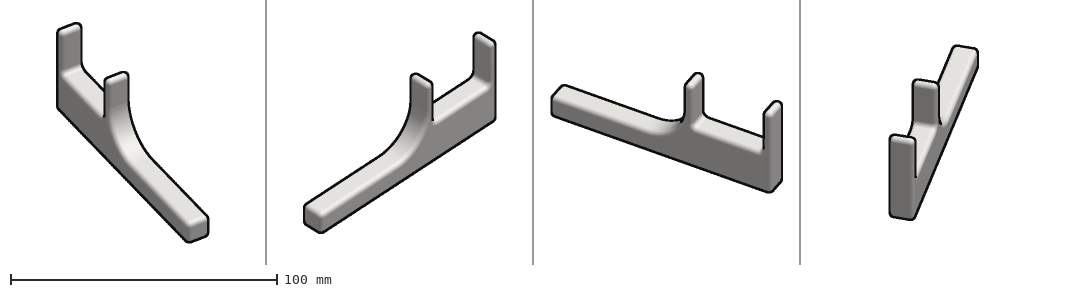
import cadquery as cq
import math

length = 95.5
width = 10.0
height = 39.0
prong_thickness = 4.0
ledge_height = 19.0
arm_height = 10.0
second_prong_start = 34.0
sweep_radius = 16.0

gap_radius = prong_thickness / 2
prong_flat = 0.01
edge_radius = (prong_thickness - prong_flat) / 2

second_prong_end = second_prong_start + prong_thickness


def side_profile():
    """Closed XZ outline, with sharp outer corners and round inner ones."""
    diagonal = 1 - math.sqrt(0.5)
    gap_inset = gap_radius * diagonal
    sweep_inset = sweep_radius * diagonal
    return (
        cq.Workplane("XZ", origin=(0, width / 2, 0))
        .moveTo(0, 0)
        .lineTo(length, 0)
        .lineTo(length, arm_height)
        .lineTo(second_prong_end + sweep_radius, arm_height)
        .threePointArc(
            (second_prong_end + sweep_inset, arm_height + sweep_inset),
            (second_prong_end, arm_height + sweep_radius),
        )
        .lineTo(second_prong_end, height)
        .lineTo(second_prong_start, height)
        .lineTo(second_prong_start, ledge_height + gap_radius)
        .threePointArc(
            (second_prong_start - gap_inset, ledge_height + gap_inset),
            (second_prong_start - gap_radius, ledge_height),
        )
        .lineTo(prong_thickness + gap_radius, ledge_height)
        .threePointArc(
            (prong_thickness + gap_inset, ledge_height + gap_inset),
            (prong_thickness, ledge_height + gap_radius),
        )
        .lineTo(prong_thickness, height)
        .lineTo(0, height)
        .close()
    )


def round_outer_edges(body):
    """Round both side outlines and every outer corner of the profile."""
    side_outlines = body.faces("|Y").edges()
    outer_corners = body.edges("|Y and (<X or >X or >Z)")
    return side_outlines.add(outer_corners).fillet(edge_radius)


result = round_outer_edges(side_profile().extrude(width))